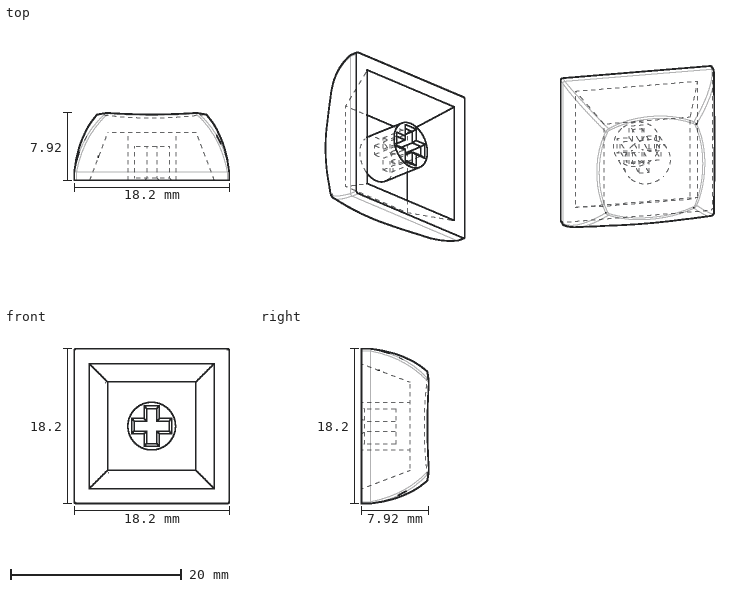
import cadquery as cq
import math


base_half = 9.1
skirt_height = 1.0
corner_radius = 0.25

dome_sections = [
    (skirt_height, base_half, base_half, corner_radius),
    (4.6, 8.27, 7.95, 0.35),
    (8.2, 5.98, 4.95, 0.6),
]

dish_radius = 45.0
dish_rim_radius = 7.05
dish_rim_height = 7.87
top_edge_radius = 0.3

cavity_half = 7.32
cavity_floor_half = 5.18
cavity_depth = 5.65

stem_diameter = 5.6
cross_length = 4.1
cross_width = 1.17
cross_depth = 4.0
cross_chamfer = 0.32


def plane_at(height):
    """Plane square to +Y, with its local x along +X and its local y along -Z."""
    return cq.Plane(origin=(0, height, 0), xDir=(1, 0, 0), normal=(0, 1, 0))


def square_at(height, half):
    return cq.Workplane(plane_at(height)).rect(2 * half, 2 * half)


def dome_section(height, mid_half, corner_half, rounding):
    """Square outline with rounded corners and sides that bow outwards."""
    corners = [(-1, -1), (1, -1), (1, 1), (-1, 1)]
    middles = [(0, -1), (1, 0), (0, 1), (-1, 0)]
    outline = cq.Workplane(plane_at(height)).moveTo(-corner_half, -corner_half)
    for side, middle in enumerate(middles):
        end = corners[(side + 1) % len(corners)]
        end_point = (end[0] * corner_half, end[1] * corner_half)
        if mid_half > corner_half:
            outline = outline.threePointArc((middle[0] * mid_half, middle[1] * mid_half), end_point)
        else:
            outline = outline.lineTo(*end_point)
    wire = outline.wire().val()
    return wire.fillet2D(rounding, wire.Vertices())


def make_cap():
    skirt = square_at(0, base_half).extrude(skirt_height).edges("|Y").fillet(corner_radius)
    dome_wires = [dome_section(*section) for section in dome_sections]
    dome = cq.Workplane(cq.Solid.makeLoft(dome_wires))

    dish_center = dish_rim_height + math.sqrt(dish_radius**2 - dish_rim_radius**2)
    dish = cq.Workplane("XY").sphere(dish_radius).translate((0, dish_center, 0))
    dome = dome.cut(dish)
    dome = dome.faces(">Y").edges().fillet(top_edge_radius)

    cavity = (
        square_at(0, cavity_half)
        .workplane(offset=cavity_depth)
        .rect(2 * cavity_floor_half, 2 * cavity_floor_half)
        .loft(ruled=True)
    )
    return skirt.union(dome).cut(cavity)


def cross_arm(length, width):
    """One bar of the cross socket, with a 45 degree lead-in at its mouth."""
    bar = cq.Workplane(plane_at(0)).rect(length, width).extrude(cross_depth)
    lead_in = (
        cq.Workplane(plane_at(0))
        .rect(length + 2 * cross_chamfer, width + 2 * cross_chamfer)
        .workplane(offset=cross_chamfer)
        .rect(length, width)
        .loft(ruled=True)
    )
    return bar.union(lead_in)


def make_stem():
    """Round post from the cavity floor to the rim plane."""
    post = cq.Workplane(plane_at(0)).circle(stem_diameter / 2).extrude(cavity_depth)
    return post.cut(cross_arm(cross_length, cross_width)).cut(cross_arm(cross_width, cross_length))


cap = make_cap()
stem = make_stem()

result = cq.Compound.makeCompound([cap.val(), stem.val()])